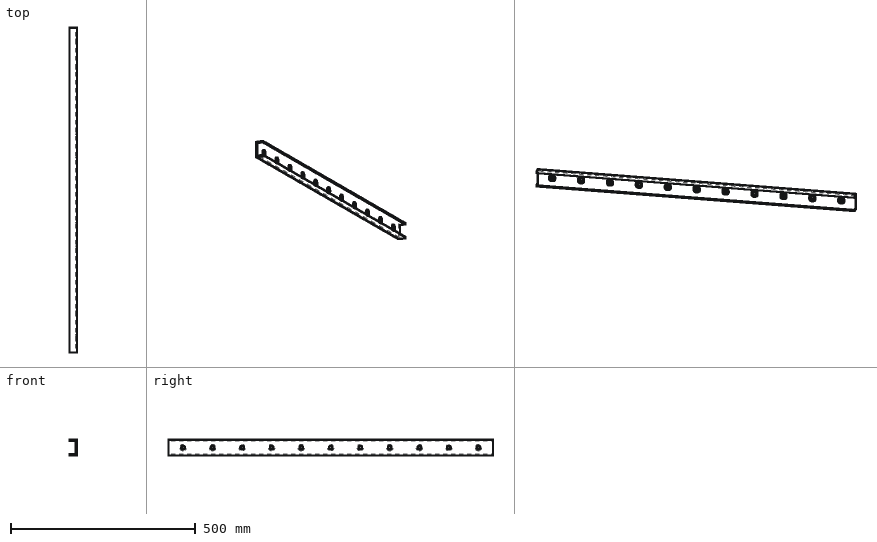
import cadquery as cq

depth = 21.0
length = 880.0
height = 43.0
web_thickness = 4.75
flange_thickness = 3.75
outer_corner_radius = 1.0
root_radius = 0.5

hole_count = 11
hole_pitch = 80.0
hole_diameter = 9.0
countersink_diameter = 17.5
countersink_angle = 90.0

web_inner_x = depth / 2 - web_thickness


def outer_block():
    """Envelope of the channel with its four long edges rounded."""
    return cq.Workplane("XY").box(depth, length, height).edges("|Y").fillet(outer_corner_radius)


def cavity():
    """Space between the flanges, rounded where it meets the web."""
    return (
        cq.Workplane("XY")
        .box(depth - web_thickness, length, height - 2 * flange_thickness)
        .translate((-web_thickness / 2, 0, 0))
        .faces(">X")
        .edges("|Y")
        .fillet(root_radius)
    )


def drill_mounting_holes(rail):
    """Countersunk holes through the web, opened from the cavity side."""
    web_inner_plane = cq.Plane(origin=(web_inner_x, 0, 0), xDir=(0, 1, 0), normal=(-1, 0, 0))
    return (
        rail.copyWorkplane(cq.Workplane(web_inner_plane))
        .rarray(hole_pitch, 1, hole_count, 1)
        .cskHole(hole_diameter, countersink_diameter, countersink_angle, depth=web_thickness)
    )


result = drill_mounting_holes(outer_block().cut(cavity()))